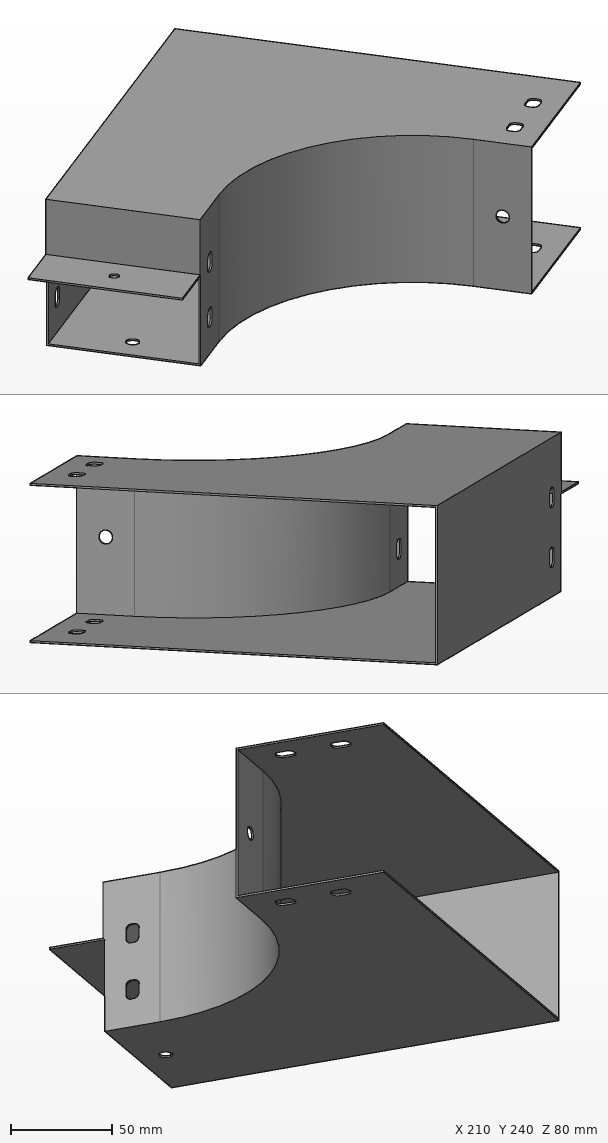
import cadquery as cq

body_size = 210.0
duct_width = 80.0
duct_height = 80.0
total_length = 240.0
sheet = 1.0

tab_length = total_length - body_size
straight_end = 30.0
bend_radius = body_size - duct_width - straight_end

lip_bottom = 49.0

hole_inset = straight_end / 2
round_hole = 7.0
tab_hole = 5.0
slot_width = 7.2
slot_length = 10.0
slot_corner_radius = 3.0
slot_spacing = 30.0
first_slot_height = 20.0
first_slot_setback = 30.0

mouth_y = tab_length
mid_width = duct_width / 2
mid_height = duct_height / 2
cut_margin = 2.5


def bend_prism(inset, bottom, top, overrun):
    """L-shaped prism inset from the walls and extended past the open sides by overrun."""
    start_y = mouth_y - overrun
    end_x = body_size + overrun
    end_y = total_length + overrun
    inner_x = duct_width - inset
    inner_y = total_length - duct_width + inset
    arc_y = mouth_y + straight_end
    arc_x = body_size - straight_end
    radius = bend_radius + inset
    diagonal = radius / 2**0.5
    return (
        cq.Workplane("XY", origin=(0, 0, bottom))
        .moveTo(inset, start_y)
        .lineTo(inner_x, start_y)
        .lineTo(inner_x, arc_y)
        .threePointArc((arc_x - diagonal, arc_y + diagonal), (arc_x, inner_y))
        .lineTo(end_x, inner_y)
        .lineTo(end_x, end_y)
        .lineTo(inset, end_y)
        .close()
        .extrude(top - bottom)
    )


def make_shell():
    """Floor, roof, outer side wall and curved inner wall; both mouths and the +Y side are open."""
    outside = bend_prism(0, 0, duct_height, 0)
    inside = bend_prism(sheet, sheet, duct_height - sheet, cut_margin)
    return outside.cut(inside)


def make_lip_and_tab():
    lip = cq.Workplane("XY").box(duct_width, sheet, duct_height - lip_bottom, centered=False)
    lip = lip.translate((0, mouth_y - sheet, lip_bottom))
    tab = cq.Workplane("XY").box(duct_width, tab_length, sheet, centered=False)
    tab = tab.translate((0, 0, lip_bottom))
    tab_drill = (
        cq.Workplane("XY", origin=(mid_width, hole_inset, lip_bottom - cut_margin))
        .circle(tab_hole / 2)
        .extrude(sheet + 2 * cut_margin)
    )
    return lip.union(tab).cut(tab_drill)


def front_arm_cutters():
    """Slots through both side walls and a round hole in the floor."""
    hole_y = mouth_y + hole_inset
    slot_heights = [first_slot_height, first_slot_height + slot_spacing]
    slots = (
        cq.Workplane("YZ", origin=(-cut_margin, 0, 0))
        .pushPoints([(hole_y, height) for height in slot_heights])
        .rect(slot_width, slot_length)
        .extrude(duct_width + 2 * cut_margin)
        .edges("|X")
        .fillet(slot_corner_radius)
    )
    floor_hole = (
        cq.Workplane("XY", origin=(mid_width, hole_y, -cut_margin))
        .circle(round_hole / 2)
        .extrude(sheet + 2 * cut_margin)
    )
    return slots.union(floor_hole)


def side_arm_cutters():
    """Slots through floor and roof and a round hole in the inner wall."""
    hole_x = body_size - hole_inset
    outer_slot_y = total_length - first_slot_setback
    slots = (
        cq.Workplane("XY", origin=(0, 0, -cut_margin))
        .pushPoints([(hole_x, outer_slot_y), (hole_x, outer_slot_y - slot_spacing)])
        .rect(slot_width, slot_length)
        .extrude(duct_height + 2 * cut_margin)
        .edges("|Z")
        .fillet(slot_corner_radius)
    )
    inner_wall_y = total_length - duct_width
    wall_hole = (
        cq.Workplane("XZ", origin=(hole_x, inner_wall_y + sheet + cut_margin, mid_height))
        .circle(round_hole / 2)
        .extrude(sheet + 2 * cut_margin)
    )
    return slots.union(wall_hole)


shell = make_shell().cut(front_arm_cutters()).cut(side_arm_cutters())
result = shell.union(make_lip_and_tab())